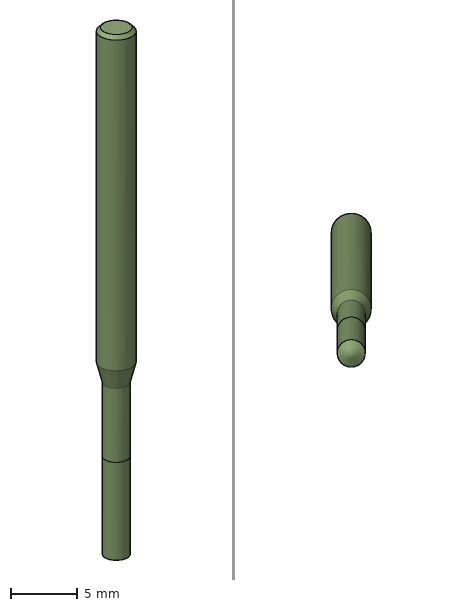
import cadquery as cq
import math

overall_length = 45.0
shank_diameter = 3.0
stem_diameter = 2.1
cutter_length = 8.78
taper_start = 15.05
taper_end = 16.75
point_angle = 130.0
chamfer_size = 0.3

shank_radius = shank_diameter / 2
stem_radius = stem_diameter / 2
point_height = stem_radius / math.tan(math.radians(point_angle / 2))
tip_z = -overall_length / 2


def revolved_body(profile):
    """Revolve a closed (radius, height) outline about the Z axis."""
    return cq.Workplane("XZ").polyline(profile).close().revolve(360, (0, 0), (0, 1))


def make_cutter():
    """Cylindrical cutting end with a conical drill point."""
    return revolved_body([
        (0, tip_z),
        (stem_radius, tip_z + point_height),
        (stem_radius, tip_z + cutter_length),
        (0, tip_z + cutter_length),
    ])


def make_shank():
    """Neck, taper and chamfered shank, resting on the cutter's flat end."""
    top_z = tip_z + overall_length
    return revolved_body([
        (0, tip_z + cutter_length),
        (stem_radius, tip_z + cutter_length),
        (stem_radius, tip_z + taper_start),
        (shank_radius, tip_z + taper_end),
        (shank_radius, top_z - chamfer_size),
        (shank_radius - chamfer_size, top_z),
        (0, top_z),
    ])


cutter = make_cutter()
shank = make_shank()

result = cq.Compound.makeCompound([cutter.val(), shank.val()])